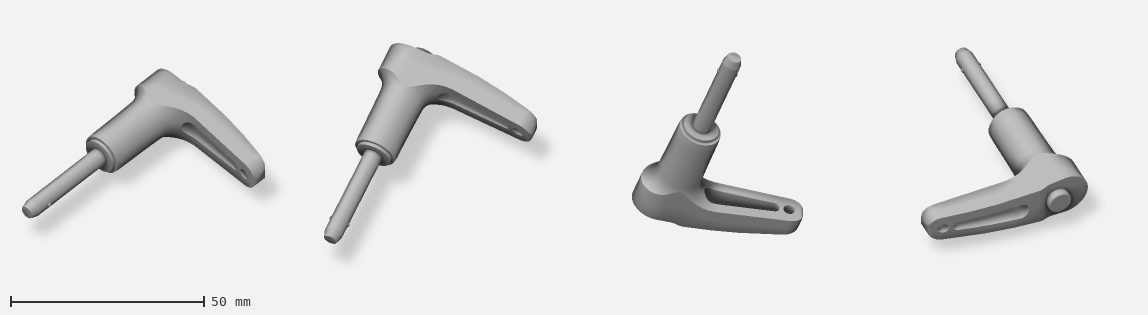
import math

import cadquery as cq


PIN_RADIUS = 2.45
PIN_LENGTH = 27.0
PIN_TIP_RADIUS = 1.8
PIN_TIP_TAPER_LENGTH = 2.1

BALL_RADIUS = 0.72
BALL_REACH = 2.8
BALL_Y = -21.1

COLLAR_RADIUS = 4.75
COLLAR_HEIGHT = 0.9
GRIP_BOTTOM_RADIUS = 5.6
GRIP_LOWER_RADIUS = 5.77
GRIP_LOWER_Y = 3.2
GRIP_UPPER_RADIUS = 6.01
GRIP_UPPER_Y = 17.3
GRIP_CONCAVITY = 0.05
GRIP_LOWER_BULGE = 0.04

FLARE_RADIUS = 6.0
UNDERSIDE_SLOPE = math.radians(5.0)

HEAD_RADIUS = 6.345
HEAD_X = -2.575
END_RADIUS = 4.1
END_X = 31.2
EYE_DIAMETER = 3.0
SLOT_WIDE_RADIUS = 2.54
SLOT_WIDE_X = 10.75
SLOT_NARROW_RADIUS = 1.5
SLOT_NARROW_X = 27.2

HEAD_TOP_Y = 30.0
CREST_START_X = 1.5
CREST_X = 5.3
CREST_Y = 30.72
ARM_TOP_MID = (19.5, 29.3)
ARM_TOP_END_Y = 26.0
ARM_TIP_X = 35.34
TIP_CORNER_RADIUS = 1.0

BUTTON_RADIUS = 3.2
BUTTON_TOP_Y = 32.18
BUTTON_EDGE_RADIUS = 0.35

HEAD_LEFT_X = HEAD_X - HEAD_RADIUS

FLARE_END_X = GRIP_UPPER_RADIUS + FLARE_RADIUS * (1 + math.sin(UNDERSIDE_SLOPE))
FLARE_END_Y = GRIP_UPPER_Y + FLARE_RADIUS * math.cos(UNDERSIDE_SLOPE)


def cylinder(radius, y_start, y_end):
    """Cylinder on the pin axis between two Y positions."""
    height = y_end - y_start
    return cq.Workplane("XZ", origin=(0, y_start, 0)).circle(radius).extrude(-height)


def tapered_prism(x1, r1, x2, r2, y_end):
    """Prism along Y of the outline wrapping two circles centred on the X axis."""
    taper = math.asin((r1 - r2) / (x2 - x1))
    near = (x1 + r1 * math.sin(taper), r1 * math.cos(taper))
    far = (x2 + r2 * math.sin(taper), r2 * math.cos(taper))
    return (
        cq.Workplane("XZ")
        .moveTo(*near)
        .lineTo(*far)
        .threePointArc((x2 + r2, 0), (far[0], -far[1]))
        .lineTo(near[0], -near[1])
        .threePointArc((x1 - r1, 0), near)
        .close()
        .extrude(-y_end)
    )


def make_pin():
    """Revolved pin shaft with a conical tip."""
    tip_y = -PIN_LENGTH
    return (
        cq.Workplane("XY")
        .moveTo(0, tip_y)
        .lineTo(PIN_TIP_RADIUS, tip_y)
        .lineTo(PIN_RADIUS, tip_y + PIN_TIP_TAPER_LENGTH)
        .lineTo(PIN_RADIUS, COLLAR_HEIGHT)
        .lineTo(0, COLLAR_HEIGHT)
        .close()
        .revolve(360, (0, 0, 0), (0, 1, 0))
    )


def make_ball(side):
    """Locking ball standing out of the shaft on the given side (-1 or 1)."""
    center_x = side * (BALL_REACH - BALL_RADIUS)
    return cq.Workplane("XY").sphere(BALL_RADIUS).translate((center_x, BALL_Y, 0))


def make_grip():
    """Revolved grip body with a rounded lower rim and a slightly waisted side."""
    rim_mid_radius = (GRIP_BOTTOM_RADIUS + GRIP_LOWER_RADIUS) / 2 + GRIP_LOWER_BULGE
    rim_mid_y = (COLLAR_HEIGHT + GRIP_LOWER_Y) / 2
    side_mid_radius = (GRIP_LOWER_RADIUS + GRIP_UPPER_RADIUS) / 2 - GRIP_CONCAVITY
    side_mid_y = (GRIP_LOWER_Y + GRIP_UPPER_Y) / 2
    return (
        cq.Workplane("XY")
        .moveTo(0, COLLAR_HEIGHT)
        .lineTo(GRIP_BOTTOM_RADIUS, COLLAR_HEIGHT)
        .threePointArc((rim_mid_radius, rim_mid_y), (GRIP_LOWER_RADIUS, GRIP_LOWER_Y))
        .threePointArc((side_mid_radius, side_mid_y), (GRIP_UPPER_RADIUS, GRIP_UPPER_Y))
        .lineTo(0, GRIP_UPPER_Y)
        .close()
        .revolve(360, (0, 0, 0), (0, 1, 0))
    )


def underside_y(x):
    """Height of the sloped arm underside at a given X."""
    return FLARE_END_Y - (x - FLARE_END_X) * math.tan(UNDERSIDE_SLOPE)


def make_flare():
    """Revolved concave flare that widens from the grip to the handle underside."""
    diagonal = FLARE_RADIUS * math.sqrt(0.5)
    arc_mid = (GRIP_UPPER_RADIUS + FLARE_RADIUS - diagonal, GRIP_UPPER_Y + diagonal)
    return (
        cq.Workplane("XY")
        .moveTo(0, GRIP_UPPER_Y)
        .lineTo(GRIP_UPPER_RADIUS, GRIP_UPPER_Y)
        .threePointArc(arc_mid, (FLARE_END_X, FLARE_END_Y))
        .lineTo(FLARE_END_X, HEAD_TOP_Y)
        .lineTo(0, HEAD_TOP_Y)
        .close()
        .revolve(360, (0, 0, 0), (0, 1, 0))
    )


def make_underside_cut():
    """Space below the sloped underside, except for the flare."""
    wedge = (
        cq.Workplane("XY")
        .moveTo(HEAD_LEFT_X, underside_y(HEAD_LEFT_X))
        .lineTo(FLARE_END_X, FLARE_END_Y)
        .lineTo(FLARE_END_X, GRIP_UPPER_Y)
        .lineTo(HEAD_LEFT_X, GRIP_UPPER_Y)
        .close()
        .extrude(HEAD_RADIUS, both=True)
    )
    return wedge.cut(make_flare())


def make_arm_profile():
    """Side profile of the handle, extruded across its full width."""
    tip_bottom_y = underside_y(ARM_TIP_X)
    tip_top_x = ARM_TIP_X - (ARM_TOP_END_Y - tip_bottom_y) * math.tan(UNDERSIDE_SLOPE)
    inflection = ((CREST_START_X + CREST_X) / 2, (HEAD_TOP_Y + CREST_Y) / 2)
    profile = (
        cq.Workplane("XY")
        .moveTo(FLARE_END_X, FLARE_END_Y)
        .lineTo(FLARE_END_X, GRIP_UPPER_Y)
        .lineTo(HEAD_LEFT_X, GRIP_UPPER_Y)
        .lineTo(HEAD_LEFT_X, HEAD_TOP_Y)
        .lineTo(CREST_START_X, HEAD_TOP_Y)
        .tangentArcPoint(inflection, relative=False)
        .tangentArcPoint((CREST_X, CREST_Y), relative=False)
        .threePointArc(ARM_TOP_MID, (tip_top_x, ARM_TOP_END_Y))
        .lineTo(ARM_TIP_X, tip_bottom_y)
        .close()
        .extrude(HEAD_RADIUS, both=True)
    )
    tip_edges = cq.selectors.BoxSelector(
        (tip_top_x - TIP_CORNER_RADIUS, tip_bottom_y - TIP_CORNER_RADIUS, -HEAD_RADIUS),
        (ARM_TIP_X + TIP_CORNER_RADIUS, ARM_TOP_END_Y + TIP_CORNER_RADIUS, HEAD_RADIUS),
    )
    return profile.edges("|Z").edges(tip_edges).fillet(TIP_CORNER_RADIUS)


def make_handle():
    """Handle arm and head with the tapered window and the eye hole."""
    outline = tapered_prism(HEAD_X, HEAD_RADIUS, END_X, END_RADIUS, BUTTON_TOP_Y)
    window = tapered_prism(
        SLOT_WIDE_X, SLOT_WIDE_RADIUS, SLOT_NARROW_X, SLOT_NARROW_RADIUS, BUTTON_TOP_Y
    )
    eye = cylinder(EYE_DIAMETER / 2, 0, BUTTON_TOP_Y).translate((END_X, 0, 0))
    handle = outline.intersect(make_arm_profile()).cut(make_underside_cut())
    return handle.cut(window).cut(eye)


def make_button():
    """Push button on top of the head, with a rounded rim."""
    button = cylinder(BUTTON_RADIUS, FLARE_END_Y, BUTTON_TOP_Y)
    return button.faces(">Y").edges().fillet(BUTTON_EDGE_RADIUS)


result = make_handle().union(make_grip())
result = result.union(cylinder(COLLAR_RADIUS, 0, COLLAR_HEIGHT)).union(make_pin())
result = result.union(make_button())
for ball_side in (-1, 1):
    result = result.union(make_ball(ball_side))